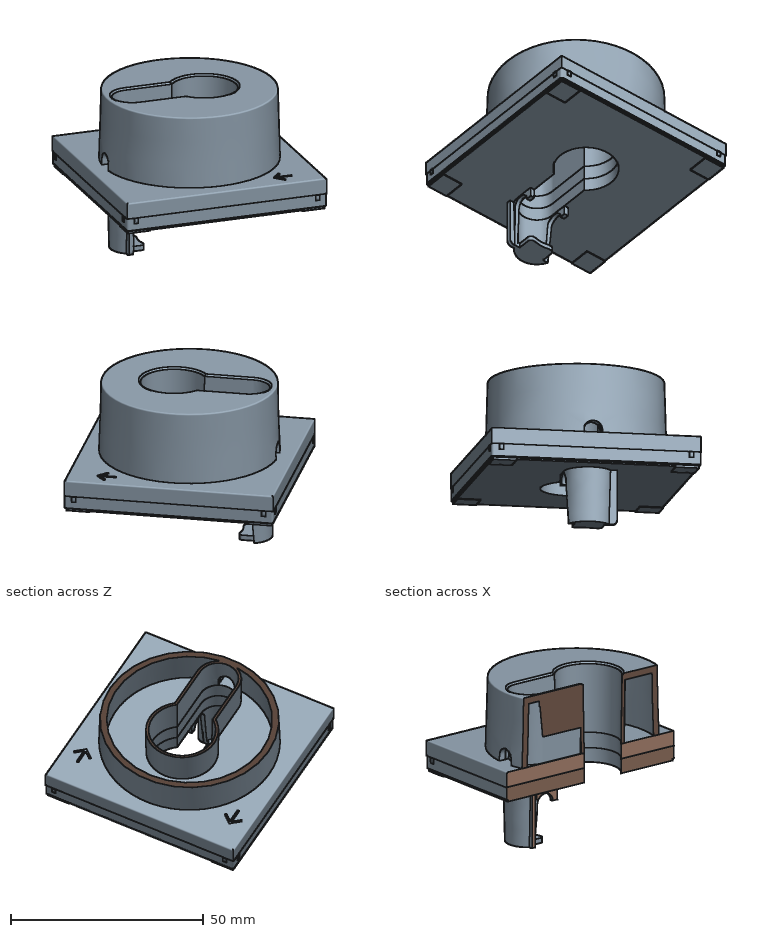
import cadquery as cq
import math

drum_top_z = 23.45
cover_top_z = 4.25
base_bottom_z = -3.55
lip_bottom_z = -3.97
foot_bottom_z = -4.2
stem_bottom_z = -18.4

plate_side = 55.5
outer_side = 55.9
cover_edge_radius = 0.4
base_corner_radius = 0.6
base_edge_chamfer = 0.25
lip_side = 54.6
foot_side = 6.2
nub_offset = 25.2
nub_width = 1.1
nub_height = 1.5
nub_bevel_height = 0.7
nub_bevel_rise = 0.1

arrow_x = 22.4
arrow_low_y = 15.0
arrow_high_y = 20.0
arrow_stroke = 0.5
arrow_half_span = 2.55
arrow_barb_drop = 2.2
arrow_depth = 0.1

drum_foot_radius = 23.6
drum_top_radius = 23.05
drum_edge_radius = 0.4
drum_wall = 1.85
drum_roof = 2.0
keyhole_wall = 0.85
notch_radius = 2.45
notch_top_z = 8.2

bore_y = 4.05
slot_y = -15.9
bore_radius = 8.55
slot_radius = 5.1
keyhole_draft = 0.25
keyhole_chamfer = 0.5

stem_top_radius = 6.35
stem_bottom_radius = 6.0
stem_y = -16.0
stem_leg_y = -10.9
arch_y = -15.0
arch_z = -6.75
arch_radius = 2.48
stem_edge_y = -18.25
tab_thickness = 1.4
tab_half_width = 3.95
tab_end_y = -13.85
tab_corner_radius = 1.0
tab_hollow_half_width = 2.2
tab_hollow_depth = 0.3
wing_x = 7.2
wing_face_y = -19.4
wing_corner_radius = 1.3


def square_prism(side, bottom, top):
    return cq.Workplane("XY", origin=(0, 0, bottom)).rect(side, side).extrude(top - bottom)


def add_keyhole(plane, growth):
    """Draw the keyhole outline, grown outward by the given amount."""
    bore = bore_radius + growth
    slot = slot_radius + growth
    shoulder_y = bore_y - math.sqrt(bore**2 - slot**2)
    return (
        plane.moveTo(slot, shoulder_y)
        .threePointArc((0, bore_y + bore), (-slot, shoulder_y))
        .lineTo(-slot, slot_y)
        .threePointArc((0, slot_y - slot), (slot, slot_y))
        .close()
    )


def straight_keyhole(bottom, top):
    return add_keyhole(cq.Workplane("XY", origin=(0, 0, bottom)), 0).extrude(top - bottom)


def tapered_keyhole(bottom, top, bottom_growth, top_growth):
    lower = add_keyhole(cq.Workplane("XY", origin=(0, 0, bottom)), bottom_growth)
    return add_keyhole(lower.workplane(offset=top - bottom), top_growth).loft(ruled=True)


def make_arrow(x, tip_y, direction):
    """Arrow groove tool at x; direction +1 points toward +Y, -1 toward -Y."""
    length = arrow_high_y - arrow_low_y
    half_stroke = arrow_stroke / 2
    slope = arrow_barb_drop / arrow_half_span
    cut_x = arrow_stroke * math.sin(math.atan(slope))
    cut_y = arrow_stroke * math.cos(math.atan(slope))
    inner_tip_drop = arrow_stroke / math.cos(math.atan(slope))
    shaft_top_drop = inner_tip_drop + half_stroke * slope
    right_side = [
        (arrow_half_span, arrow_barb_drop),
        (arrow_half_span - cut_x, arrow_barb_drop + cut_y),
        (half_stroke, shaft_top_drop),
        (half_stroke, length),
    ]
    left_side = [(-across, drop) for across, drop in reversed(right_side)]
    outline = [(0, 0)] + right_side + left_side
    points = [(x + across, tip_y - direction * drop) for across, drop in outline]
    plane = cq.Workplane("XY", origin=(0, 0, cover_top_z - arrow_depth))
    return plane.polyline(points).close().extrude(2 * arrow_depth)


def make_cover():
    cover = square_prism(plate_side, 0, cover_top_z)
    cover = cover.faces(">Z").edges().fillet(cover_edge_radius)
    cover = cover.cut(straight_keyhole(0, cover_top_z))
    cover = cover.cut(make_arrow(-arrow_x, arrow_high_y, 1))
    return cover.cut(make_arrow(arrow_x, arrow_low_y, -1))


def make_nub(offset):
    """Clip nub on the -Y side, with its lower end bevelled back."""
    root_y = -plate_side / 2 + base_corner_radius
    tip_y = -outer_side / 2
    profile = [
        (root_y, 0),
        (tip_y, 0),
        (tip_y, nub_bevel_height - nub_height),
        (tip_y + nub_bevel_rise, -nub_height),
        (root_y, -nub_height),
    ]
    plane = cq.Workplane("YZ", origin=(offset - nub_width / 2, 0, 0))
    return plane.polyline(profile).close().extrude(nub_width)


def make_base():
    base = square_prism(plate_side, base_bottom_z, 0)
    base = base.edges("|Z").fillet(base_corner_radius)
    base = base.faces("<Z").edges().chamfer(base_edge_chamfer)
    base = base.union(square_prism(lip_side, lip_bottom_z, base_bottom_z))
    foot_centre = (lip_side - foot_side) / 2
    feet = (
        cq.Workplane("XY", origin=(0, 0, foot_bottom_z))
        .rect(2 * foot_centre, 2 * foot_centre, forConstruction=True)
        .vertices()
        .rect(foot_side, foot_side)
        .extrude(lip_bottom_z - foot_bottom_z)
    )
    base = base.union(feet)
    for quarter in range(4):
        for offset in (-nub_offset, nub_offset):
            base = base.union(make_nub(offset).rotate((0, 0, 0), (0, 0, 1), 90 * quarter))
    return base.cut(straight_keyhole(lip_bottom_z, 0))


def drum_cone(foot_radius, top_radius):
    return (
        cq.Workplane("XY", origin=(0, 0, cover_top_z))
        .circle(foot_radius)
        .workplane(offset=drum_top_z - cover_top_z)
        .circle(top_radius)
        .loft(ruled=True)
    )


def make_drum():
    drum = drum_cone(drum_foot_radius, drum_top_radius)
    drum = drum.faces(">Z").edges().fillet(drum_edge_radius)
    roof_z = drum_top_z - drum_roof
    cavity = drum_cone(drum_foot_radius - drum_wall, drum_top_radius - drum_wall)
    cavity = cavity.cut(
        tapered_keyhole(cover_top_z, drum_top_z, keyhole_wall, keyhole_wall + keyhole_draft)
    )
    cavity = cavity.intersect(square_prism(plate_side, cover_top_z, roof_z))
    drum = drum.cut(cavity)
    drum = drum.cut(tapered_keyhole(cover_top_z, drum_top_z, 0, keyhole_draft))
    rim_growth = keyhole_draft + keyhole_chamfer
    chamfer_start_z = drum_top_z - keyhole_chamfer
    drum = drum.cut(tapered_keyhole(chamfer_start_z, drum_top_z, keyhole_draft, rim_growth))
    notch_spring_z = notch_top_z - notch_radius
    notch = (
        cq.Workplane("XZ", origin=(0, slot_y, 0))
        .moveTo(-notch_radius, cover_top_z)
        .lineTo(-notch_radius, notch_spring_z)
        .threePointArc((0, notch_top_z), (notch_radius, notch_spring_z))
        .lineTo(notch_radius, cover_top_z)
        .close()
        .extrude(drum_foot_radius)
    )
    return drum.cut(notch)


def add_stem_outline(plane, radius):
    return (
        plane.moveTo(radius, stem_leg_y)
        .lineTo(radius, stem_y)
        .threePointArc((0, stem_y - radius), (-radius, stem_y))
        .lineTo(-radius, stem_leg_y)
        .close()
    )


def make_stem():
    height = lip_bottom_z - stem_bottom_z
    lower = add_stem_outline(cq.Workplane("XY", origin=(0, 0, stem_bottom_z)), stem_bottom_radius)
    stem = add_stem_outline(lower.workplane(offset=height), stem_top_radius).loft(ruled=True)

    wing = (
        cq.Workplane("XY", origin=(0, 0, stem_bottom_z))
        .moveTo(wing_x / 2, (wing_face_y + stem_edge_y) / 2)
        .rect(wing_x, stem_edge_y - wing_face_y)
        .extrude(height)
        .edges(">X and <Z")
        .fillet(wing_corner_radius)
    )
    stem = stem.union(wing)

    floor_z = stem_bottom_z + tab_thickness
    inside = (
        cq.Workplane("XY", origin=(0, 0, floor_z))
        .moveTo(slot_radius, 0)
        .lineTo(slot_radius, slot_y)
        .threePointArc((0, slot_y - slot_radius), (-slot_radius, slot_y))
        .lineTo(-slot_radius, 0)
        .close()
        .extrude(lip_bottom_z - floor_z)
    )
    stem = stem.cut(inside)

    opening = (
        cq.Workplane("YZ", origin=(-wing_x, 0, 0))
        .moveTo(arch_y + arch_radius, arch_z)
        .threePointArc((arch_y, arch_z + arch_radius), (arch_y - arch_radius, arch_z))
        .lineTo(stem_edge_y, stem_bottom_z)
        .lineTo(0, stem_bottom_z)
        .lineTo(0, arch_z)
        .close()
        .extrude(2 * wing_x)
    )
    stem = stem.cut(opening)

    tab_shoulder_x = tab_half_width - tab_corner_radius
    tab = (
        cq.Workplane("XY", origin=(0, 0, stem_bottom_z))
        .moveTo(-tab_half_width, stem_edge_y - tab_thickness)
        .lineTo(-tab_half_width, tab_end_y - tab_corner_radius)
        .radiusArc((-tab_shoulder_x, tab_end_y), tab_corner_radius)
        .lineTo(-tab_hollow_half_width, tab_end_y)
        .threePointArc((0, tab_end_y - tab_hollow_depth), (tab_hollow_half_width, tab_end_y))
        .lineTo(tab_shoulder_x, tab_end_y)
        .radiusArc((tab_half_width, tab_end_y - tab_corner_radius), tab_corner_radius)
        .lineTo(tab_half_width, stem_edge_y - tab_thickness)
        .close()
        .extrude(tab_thickness)
    )
    return stem.union(tab)


cover = make_cover().solids()
base = make_base().solids()
drum = make_drum().solids()
stem = make_stem().solids()

result = cq.Compound.makeCompound([cover.val(), base.val(), drum.val(), stem.val()])